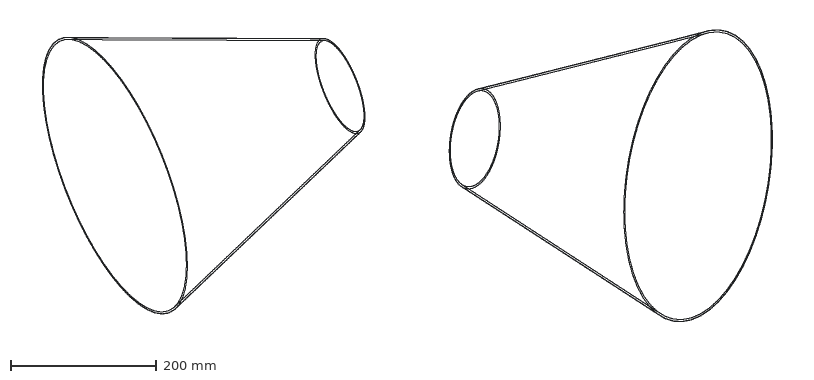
import cadquery as cq

wide_diameter = 406.5
narrow_diameter = 140.0
length = 356.0
wall = 3.0

wide_radius = wide_diameter / 2
narrow_radius = narrow_diameter / 2

wall_section = [
    (wide_radius - wall, 0),
    (wide_radius, 0),
    (narrow_radius, length),
    (narrow_radius - wall, length),
]

result = (
    cq.Workplane("XY")
    .polyline(wall_section)
    .close()
    .revolve(360, (0, 0, 0), (0, 1, 0))
    .translate((0, -length / 2, 0))
)